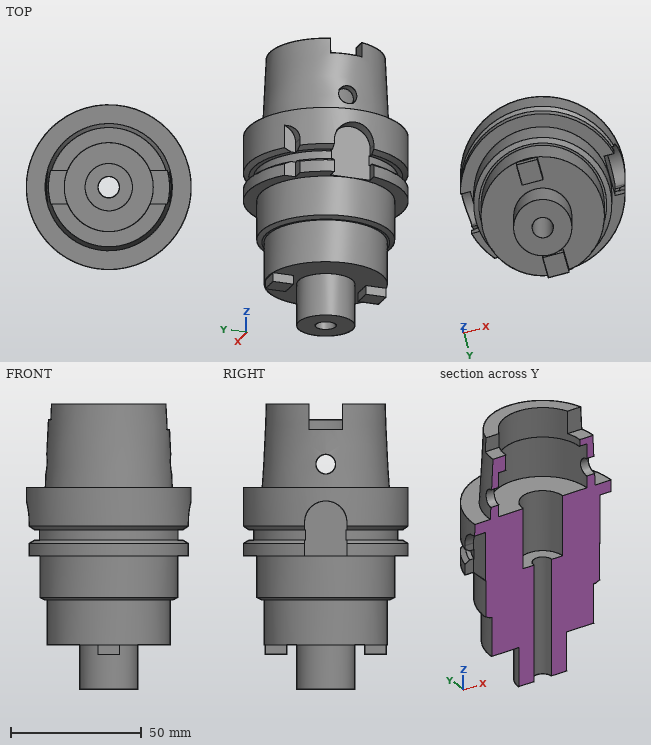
import cadquery as cq

total_height = 109.0
body_bottom = 17.0
collar_bottom = 34.1
collar_chamfer_top = 35.1
flange_bottom = 51.0
lower_lip_edge = 55.7
groove_bottom = 57.0
groove_top = 60.9
upper_lip_edge = 62.3
flange_top = 77.2

pilot_radius = 11.1
body_radius = 23.5
collar_radius = 26.4
collar_chamfer_radius = 24.4
flange_radius = 31.5
lip_radius = 29.4
groove_radius = 27.6
taper_base_radius = 24.3
taper_top_radius = 22.8

bore_radius = 17.0
mouth_depth = 12.9
undercut_radius = 20.3
bore_floor = flange_top
middle_bore_radius = 9.0
middle_bore_floor = flange_bottom
through_hole_radius = 4.0

cross_hole_radius = 3.7
cross_hole_height = 86.0

drive_slot_width = 12.8
shallow_slot_depth = 6.0
deep_slot_depth = 9.8

gripper_slot_radius = 8.1
gripper_slot_floor = 26.5
slot_top = 71.9
notch_floor = 19.8
notch_wall = 19.8
notch_radius = 7.0

key_width = 8.3
key_height = 3.6
key_inner = 14.8
key_outer = 23.1


def revolve(points):
    """Turn a closed radius-height outline about the Z axis."""
    return cq.Workplane("XZ").polyline(points).close().revolve(360, (0, 0), (0, 1))


def block(x_range, y_range, z_range):
    """Box between the given limits along each axis."""
    limits = (x_range, y_range, z_range)
    size = [high - low for low, high in limits]
    return cq.Workplane("XY").box(*size, centered=False).translate([low for low, high in limits])


def turned_outside():
    return revolve([
        (0, 0),
        (pilot_radius, 0),
        (pilot_radius, body_bottom),
        (body_radius, body_bottom),
        (body_radius, collar_bottom),
        (collar_chamfer_radius, collar_bottom),
        (collar_radius, collar_chamfer_top),
        (collar_radius, flange_bottom),
        (flange_radius, flange_bottom),
        (flange_radius, lower_lip_edge),
        (lip_radius, groove_bottom),
        (groove_radius, groove_bottom),
        (groove_radius, groove_top),
        (lip_radius, groove_top),
        (flange_radius, upper_lip_edge),
        (flange_radius, flange_top),
        (taper_base_radius, flange_top),
        (taper_top_radius, total_height),
        (0, total_height),
    ])


def turned_bores():
    mouth_bottom = total_height - mouth_depth
    return revolve([
        (0, 0),
        (through_hole_radius, 0),
        (through_hole_radius, middle_bore_floor),
        (middle_bore_radius, middle_bore_floor),
        (middle_bore_radius, bore_floor),
        (undercut_radius, bore_floor),
        (undercut_radius, mouth_bottom),
        (bore_radius, mouth_bottom),
        (bore_radius, total_height),
        (0, total_height),
    ])


def cross_hole():
    return (
        cq.Workplane("YZ")
        .center(0, cross_hole_height)
        .circle(cross_hole_radius)
        .extrude(flange_radius, both=True)
    )


def drive_slot(side, depth):
    """Slot across one wall of the rim; side is -1 or +1 along X."""
    x_range = sorted((0, side * flange_radius))
    y_range = (-drive_slot_width / 2, drive_slot_width / 2)
    return block(x_range, y_range, (total_height - depth, total_height))


def flange_slot(side, y_center, floor, radius):
    """Round-topped slot milled along X into the flange, open at its bottom."""
    arc_height = slot_top - radius
    return (
        cq.Workplane("YZ", origin=(side * floor, y_center, 0))
        .moveTo(-radius, flange_bottom)
        .lineTo(radius, flange_bottom)
        .lineTo(radius, arc_height)
        .threePointArc((0, slot_top), (-radius, arc_height))
        .close()
        .extrude(side * (flange_radius - floor))
    )


def driving_key(side):
    y_range = sorted((side * key_inner, side * key_outer))
    return block((-key_width / 2, key_width / 2), y_range, (body_bottom - key_height, body_bottom))


result = turned_outside().cut(turned_bores()).cut(cross_hole())
result = result.cut(drive_slot(-1, shallow_slot_depth)).cut(drive_slot(1, deep_slot_depth))

for side in (-1, 1):
    result = result.cut(flange_slot(side, 0, gripper_slot_floor, gripper_slot_radius))
    result = result.union(driving_key(side))

result = result.cut(flange_slot(-1, notch_wall + notch_radius, notch_floor, notch_radius))